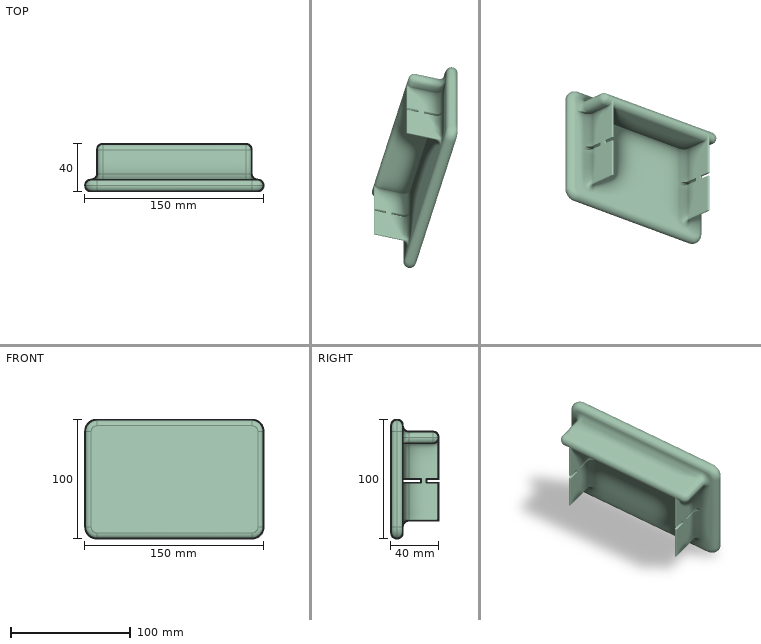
import cadquery as cq

PLATE_WIDTH = 150.0
PLATE_HEIGHT = PLATE_WIDTH * 2 / 3
RIM_RADIUS = PLATE_WIDTH / 30
PLATE_THICKNESS = 2 * RIM_RADIUS
PLATE_CORNER_RADIUS = 2 * RIM_RADIUS

SHELF_REACH = 30.0
SHELF_THICKNESS = PLATE_THICKNESS
SHELF_WIDTH = PLATE_WIDTH - 4 * RIM_RADIUS
SHELF_TOP = PLATE_HEIGHT / 2 - 2 * RIM_RADIUS
SHELF_CENTER_Z = SHELF_TOP - SHELF_THICKNESS / 2

WALL_THICKNESS = PLATE_THICKNESS / 5
WALL_OUTER_X = SHELF_WIDTH / 2 - 2 * RIM_RADIUS
WALL_BOTTOM = 3 * RIM_RADIUS - PLATE_HEIGHT / 2
BACK_Y = PLATE_THICKNESS + SHELF_REACH

SLOT_HEIGHT = 3.0
SLOT_TOP = 0.0
REAR_SLOT_DEPTH = SHELF_REACH / 3
BRIDGE_WIDTH = RIM_RADIUS

ROOT_FILLET = 5.0
FULL_ROUND_CLEARANCE = 0.02


def box_between(low, high):
    """Axis-aligned box from its lowest corner to its highest corner."""
    size = [b - a for a, b in zip(low, high)]
    return cq.Workplane("XY").box(*size, centered=False).translate(low)


def make_plate():
    slab = box_between(
        (-PLATE_WIDTH / 2, 0, -PLATE_HEIGHT / 2),
        (PLATE_WIDTH / 2, PLATE_THICKNESS, PLATE_HEIGHT / 2),
    )
    slab = slab.edges("|Y").fillet(PLATE_CORNER_RADIUS)
    return slab.faces("<Y or >Y").edges().fillet(RIM_RADIUS - FULL_ROUND_CLEARANCE)


def make_shelf():
    half_width = SHELF_WIDTH / 2
    slab = box_between(
        (-half_width, PLATE_THICKNESS / 2, SHELF_CENTER_Z - SHELF_THICKNESS / 2),
        (half_width, BACK_Y, SHELF_TOP),
    )
    slab = slab.edges("|Z and >Y").fillet(SHELF_THICKNESS / 2)
    free_edges = slab.faces("<Z or >Z").edges("not <Y")
    return free_edges.fillet(SHELF_THICKNESS / 2 - FULL_ROUND_CLEARANCE)


def make_left_wall():
    wall = box_between(
        (-WALL_OUTER_X, PLATE_THICKNESS / 2, WALL_BOTTOM),
        (-WALL_OUTER_X + WALL_THICKNESS, BACK_Y, SHELF_CENTER_Z),
    )
    free_edges = wall.faces("<X or >X").edges(">Y or <Z")
    return free_edges.fillet(WALL_THICKNESS / 2 - FULL_ROUND_CLEARANCE)


def make_slot(front_y, rear_y):
    """Slot running the full width, so it opens both walls."""
    return box_between(
        (-PLATE_WIDTH / 2, front_y, SLOT_TOP - SLOT_HEIGHT),
        (PLATE_WIDTH / 2, rear_y, SLOT_TOP),
    )


def blend_into_plate(body):
    """Fillet every edge where the body meets the flat back of the plate."""
    reach_x = SHELF_WIDTH / 2 + RIM_RADIUS / 2
    reach_z = PLATE_HEIGHT / 2 - RIM_RADIUS
    reach_y = ROOT_FILLET / 10
    root_region = cq.selectors.BoxSelector(
        (-reach_x, PLATE_THICKNESS - reach_y, -reach_z),
        (reach_x, PLATE_THICKNESS + reach_y, reach_z),
    )
    return body.edges(root_region).fillet(ROOT_FILLET)


plate = make_plate()
left_wall = make_left_wall()
walls_on_plate = blend_into_plate(plate.union(left_wall).union(left_wall.mirror("YZ")))

above_underside = box_between(
    (-PLATE_WIDTH / 2, PLATE_THICKNESS / 2, SHELF_TOP - SHELF_THICKNESS),
    (PLATE_WIDTH / 2, BACK_Y, PLATE_HEIGHT / 2),
)
blended_shelf = blend_into_plate(plate.union(make_shelf())).intersect(above_underside)
body = walls_on_plate.union(blended_shelf)

rear_slot_front = BACK_Y - REAR_SLOT_DEPTH
result = body.cut(make_slot(rear_slot_front, BACK_Y))
result = result.cut(make_slot(PLATE_THICKNESS, rear_slot_front - BRIDGE_WIDTH)).solids()